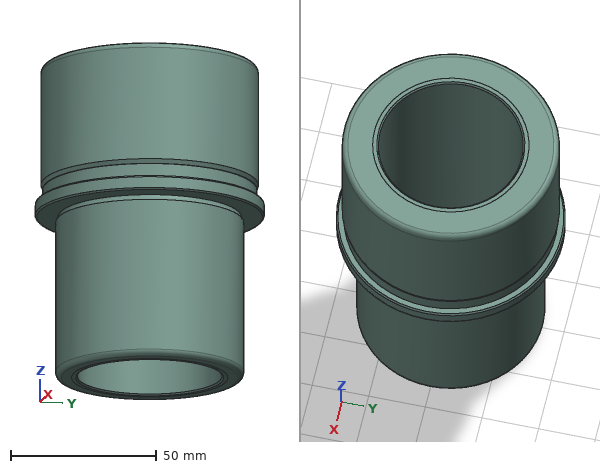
import cadquery as cq
import math

length = 110.0
flange_bottom = 57.1
flange_thickness = 5.0
flange_top = flange_bottom + flange_thickness
head_bottom = 68.4
head_relief_height = 1.5
neck_top = head_bottom - head_relief_height

shank_radius = 32.5
flange_radius = 39.5
neck_radius = 37.0
head_relief_radius = 36.6
head_radius = 37.5
liner_outer_radius = 27.0
bore_radius = 25.0

end_fillet = 2.0
flange_chamfer = 0.5
liner_chamfer = 0.5
undercut_depth = 0.8
undercut_height = 1.9

undercut_radius = shank_radius - undercut_depth
undercut_bottom = flange_bottom - undercut_height
undercut_arc = (undercut_height**2 + undercut_depth**2) / (2 * undercut_depth)


def make_housing():
    """Stepped bush with a flange, revolved about Z."""
    fillet_mid = end_fillet * (1 - math.sqrt(0.5))
    profile = (
        cq.Workplane("XZ")
        .moveTo(liner_outer_radius, 0)
        .lineTo(shank_radius - end_fillet, 0)
        .threePointArc((shank_radius - fillet_mid, fillet_mid), (shank_radius, end_fillet))
        .lineTo(shank_radius, undercut_bottom)
        .radiusArc((undercut_radius, flange_bottom), undercut_arc)
        .lineTo(flange_radius - flange_chamfer, flange_bottom)
        .lineTo(flange_radius, flange_bottom + flange_chamfer)
        .lineTo(flange_radius, flange_top - flange_chamfer)
        .lineTo(flange_radius - flange_chamfer, flange_top)
        .lineTo(neck_radius, flange_top)
        .lineTo(neck_radius, neck_top)
        .lineTo(head_relief_radius, neck_top)
        .lineTo(head_radius, head_bottom)
        .lineTo(head_radius, length - end_fillet)
        .threePointArc(
            (head_radius - fillet_mid, length - fillet_mid),
            (head_radius - end_fillet, length),
        )
        .lineTo(liner_outer_radius, length)
        .close()
    )
    return profile.revolve(360, (0, 0, 0), (0, 1, 0))


def make_liner():
    """Full-length sleeve with both bore edges chamfered."""
    sleeve = cq.Workplane("XY").circle(liner_outer_radius).circle(bore_radius).extrude(length)
    bore_edges = sleeve.edges(cq.selectors.RadiusNthSelector(0)).edges("%CIRCLE")
    return bore_edges.chamfer(liner_chamfer)


housing = make_housing()
liner = make_liner()

result = cq.Compound.makeCompound([housing.val(), liner.val()])